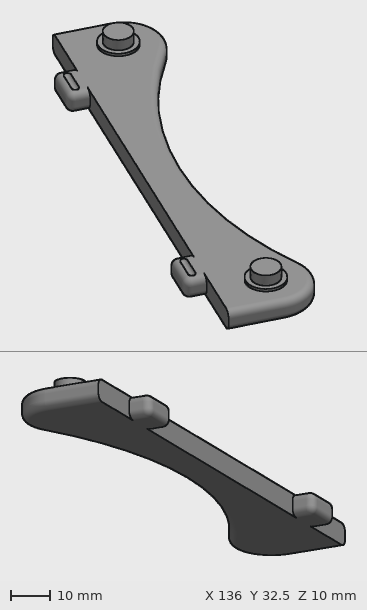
import cadquery as cq
import math

plate_length = 136.0
plate_depth = 26.52
plate_thickness = 6.0
edge_radius = 2.0
end_radius = 11.0
hollow_radius = 100.0

pin_spacing = 114.0
pin_y = 14.0
collar_diameter = 11.0
collar_height = 0.8
pin_diameter = 8.0
overall_height = 10.0

tab_spacing = 90.0
tab_width = 12.0
tab_projection = 6.0

groove_width = 2.0
groove_depth = 0.7
groove_length = tab_width - 2 * edge_radius
groove_y = -tab_projection + edge_radius + groove_width / 2
groove_radius = ((groove_width / 2) ** 2 + groove_depth**2) / (2 * groove_depth)


def make_plate():
    """Plate with rounded ends and a large hollow arc tangent to both of them."""
    half_length = plate_length / 2
    end_x = half_length - end_radius
    end_y = plate_depth - end_radius

    lean = math.asin(end_x / (hollow_radius + end_radius))
    hollow_y = end_y + (hollow_radius + end_radius) * math.cos(lean)
    waist_depth = hollow_y - hollow_radius
    tangent_x = hollow_radius * math.sin(lean)
    tangent_y = hollow_y - hollow_radius * math.cos(lean)

    middle_angle = (math.pi / 2 + lean) / 2
    middle_x = end_x + end_radius * math.cos(middle_angle)
    middle_y = end_y + end_radius * math.sin(middle_angle)

    outline = (
        cq.Workplane("XY")
        .moveTo(-half_length, 0)
        .lineTo(half_length, 0)
        .lineTo(half_length, end_y)
        .threePointArc((middle_x, middle_y), (tangent_x, tangent_y))
        .threePointArc((0, waist_depth), (-tangent_x, tangent_y))
        .threePointArc((-middle_x, middle_y), (-half_length, end_y))
        .close()
    )
    plate = outline.extrude(plate_thickness)
    return plate.edges("(not |Z) and (not <Y)").fillet(edge_radius)


def make_groove_cutter():
    """Capsule lying along X, centred on the origin."""
    half_straight = (groove_length - groove_width) / 2
    half_length = half_straight + groove_radius
    return (
        cq.Workplane("XZ")
        .moveTo(-half_length, 0)
        .radiusArc((-half_straight, -groove_radius), -groove_radius)
        .lineTo(half_straight, -groove_radius)
        .radiusArc((half_length, 0), -groove_radius)
        .close()
        .revolve(360, (0, 0, 0), (1, 0, 0))
    )


def make_tab(x):
    """Rounded tab whose square rear end is flush with the front edge."""
    tab = (
        cq.Workplane("XY")
        .box(tab_width, tab_projection, plate_thickness, centered=(True, False, False))
        .edges("not >Y")
        .fillet(edge_radius)
    )
    tab = tab.translate((0, -tab_projection, 0))
    groove_z = plate_thickness + groove_radius - groove_depth
    groove = make_groove_cutter().translate((0, groove_y, groove_z))
    return tab.cut(groove).translate((x, 0, 0))


def make_pin(x):
    """Pin with a wider collar at its foot."""
    foot = cq.Workplane("XY", origin=(x, pin_y, plate_thickness))
    collar = foot.circle(collar_diameter / 2).extrude(collar_height)
    pin = foot.circle(pin_diameter / 2).extrude(overall_height - plate_thickness)
    return collar.union(pin)


result = make_plate()
for side in (-1, 1):
    result = result.union(make_tab(side * tab_spacing / 2))
    result = result.union(make_pin(side * pin_spacing / 2))